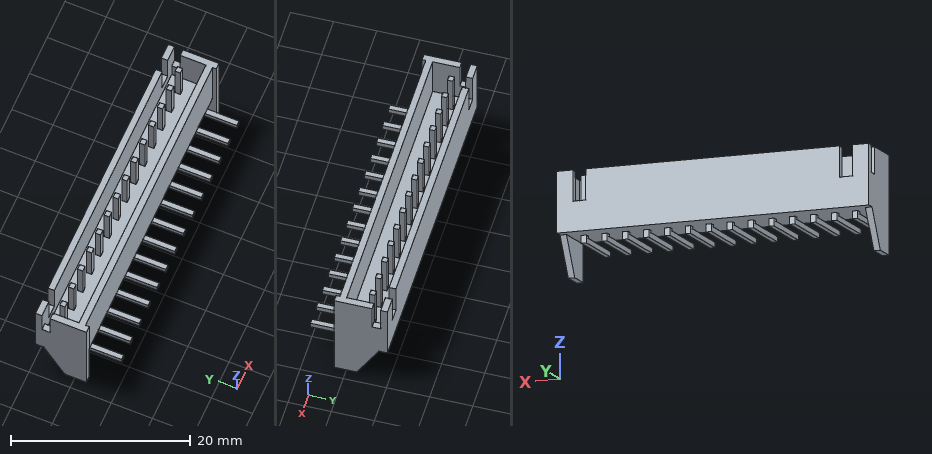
import cadquery as cq


pin_count = 14
pin_pitch = 2.5
pin_width = 0.64

length = 37.4
wall = 0.8
shroud_depth = 5.75
shroud_height = 7.1
floor_thickness = 2.0

total_height = 11.5
plate_depth = 6.2
plate_foot_depth = 2.65
plate_step = 1.0
side_slot_width = 1.0
side_slot_depth = 3.15

notch_inset = 1.95
notch_width = 1.55
notch_depth = 3.6

pin_row_y = -2.37
pin_tip_drop = 0.2
pin_tail_top_drop = 7.35
total_depth = 9.55

shroud_bottom = total_height - shroud_height
floor_top = shroud_bottom + floor_thickness
pin_tail_bottom = total_height - pin_tail_top_drop - pin_width


def block(x_min, x_max, y_min, y_max, z_min, z_max):
    """Axis-aligned block between the given limits."""
    size = (x_max - x_min, y_max - y_min, z_max - z_min)
    return cq.Workplane("XY").box(*size, centered=False).translate((x_min, y_min, z_min))


def make_shroud():
    """Trough with a floor, front and back walls, closed at both ends by the plates."""
    half = length / 2
    outside = block(-half, half, -shroud_depth, 0, shroud_bottom, total_height)
    cavity = block(
        -half + wall,
        half - wall,
        -shroud_depth + wall,
        -wall,
        floor_top,
        total_height,
    )
    return outside.cut(cavity)


def make_end_plate(x_min):
    """Plate that stands below the shroud on a foot, with a sloping rear edge."""
    outline = [
        (0, total_height),
        (-plate_depth, total_height),
        (-plate_depth, 0),
        (-plate_depth + plate_foot_depth, 0),
        (-plate_step, shroud_bottom),
        (0, shroud_bottom),
    ]
    return cq.Workplane("YZ").polyline(outline).close().extrude(wall).translate((x_min, 0, 0))


def make_side_slots():
    """Slot open at the top through both end plates, just inside the back wall."""
    half = length / 2
    y_min = -wall - side_slot_width
    return block(-half, half, y_min, -wall, total_height - side_slot_depth, total_height)


def make_back_notch(x_min):
    """Notch open at the top through the back wall."""
    return block(x_min, x_min + notch_width, -wall, 0, total_height - notch_depth, total_height)


def make_pin(x_center):
    """Square pin that rises through the floor and bends forward below it."""
    x_min = x_center - pin_width / 2
    x_max = x_center + pin_width / 2
    y_min = pin_row_y - pin_width / 2
    y_max = pin_row_y + pin_width / 2
    post = block(x_min, x_max, y_min, y_max, pin_tail_bottom, total_height - pin_tip_drop)
    tail = block(x_min, x_max, -total_depth, y_max, pin_tail_bottom, pin_tail_bottom + pin_width)
    return post.union(tail)


left_end = -length / 2
right_end = length / 2

result = make_shroud()
for plate_x in (left_end, right_end - wall):
    result = result.union(make_end_plate(plate_x))

result = result.cut(make_side_slots())
for notch_x in (left_end + notch_inset, right_end - notch_inset - notch_width):
    result = result.cut(make_back_notch(notch_x))

first_pin_x = -pin_pitch * (pin_count - 1) / 2
for index in range(pin_count):
    result = result.union(make_pin(first_pin_x + index * pin_pitch))